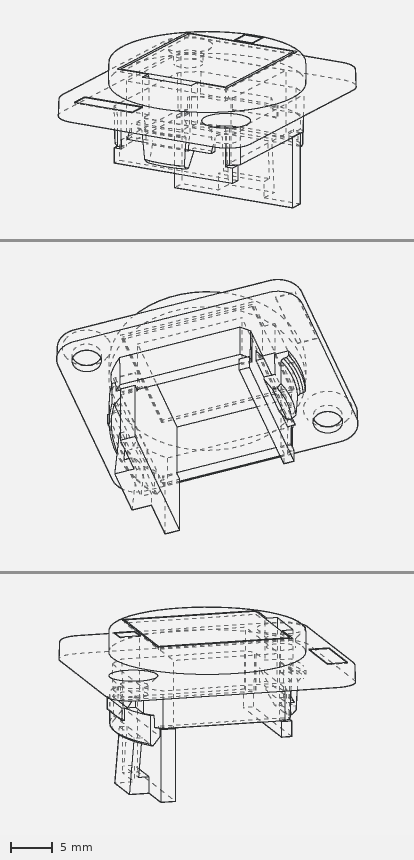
import cadquery as cq


PLATE_WIDTH = 26.0
PLATE_LENGTH = 31.0
PLATE_THICKNESS = 2.3
PLATE_CORNER_RADIUS = 3.1
PLATE_DRAFT = 2.0
PLATE_EDGE_FILLET = 0.25

SCREW_X = 9.5
SCREW_Y = 12.0
SCREW_DIAMETER = 3.5
COUNTERSINK_DIAMETER = 5.85
COUNTERSINK_ANGLE = 90.0

BOSS_RADIUS = 11.8
BOSS_TOP = 5.15
OVERALL_HEIGHT = 19.0
BOSS_EDGE_FILLET = 0.35

LABEL_DEPTH = 0.1
BOSS_LABEL = (0.0, 9.98, 2.45, 2.55)
PLATE_LABEL = (-5.98, -13.35, 8.0, 2.5)

INSERT_WIDTH = 14.45
INSERT_FRONT = -8.18
INSERT_REAR = 8.18
INSERT_LENGTH = INSERT_REAR - INSERT_FRONT
LEG_WIDTH = 16.35
LEG_SHOULDER = -4.9
FRONT_LEG_THICKNESS = 1.3
REAR_LEG_THICKNESS = 1.85
FRONT_LEG_BOTTOM = -6.82
REAR_LEG_BOTTOM = BOSS_TOP - OVERALL_HEIGHT
SLAB_THICKNESS = REAR_LEG_THICKNESS

BEVEL_SIDE = 0.37
BEVEL_END = 0.22
BEVEL_DEPTH = 0.37

HOUSING_WIDTH = 17.48
HOUSING_REAR = 9.92
HOUSING_DEPTH = 4.68
HOUSING_DRAFT = 1.0
HOUSING_REAR_RADIUS = 11.9
HOUSING_CHAMFER = 1.0

SLOT_WIDTH = 6.75
SLOT_FRONT = -9.73

RAMP_WIDTH = 11.55
RAMP_TOP = -1.5
LEDGE_Z = -3.2
RAMP_FRONT = -9.18
CLIP_INNER = -9.6
CLIP_BOTTOM = -5.45
CLIP_TOP_WIDTH = 6.32
CLIP_BOTTOM_WIDTH = 5.4
CLIP_RIM_HEIGHT = 1.0
CLIP_RIM_CHAMFER = 0.28
CLIP_RADIUS = 10.85
CLIP_NECK_CHAMFER = 0.3
CLIP_END_RADIUS = 10.65
CLIP_END_CHAMFER = 0.53
CLIP_CATCH_BOTTOM = -3.55
CLIP_FOOT = -9.2

LATCH_WIDTH = CLIP_TOP_WIDTH
HEAD_TOP = -3.15
HEAD_BOTTOM = -6.95
HEAD_CROWN_Y = 11.55
HEAD_SIDE_Y = 9.4
HEAD_WIDTH = 15.62
HEAD_NECK_Y = 9.08
HEAD_NOTCH_Y = 8.62
HEAD_CATCH_BOTTOM = -5.83
HEAD_CHAMFER = 0.25
ARM_FOOT_REAR = 10.63
ARM_TOP_REAR = 10.05
ARM_FOOT_FRONT = 9.5
ARM_FOOT_TOP = -11.8
LATCH_RAMP_TOP = -1.33
LATCH_RAMP_FRONT = 9.6
LATCH_RAMP_REAR = 10.88


def box(width, y_min, y_max, z_min, z_max):
    """Block centred on X = 0."""
    return cq.Workplane("XY").box(width, y_max - y_min, z_max - z_min).translate(
        (0, (y_min + y_max) / 2, (z_min + z_max) / 2)
    )


def side_profile(points, width):
    """Extrude a (y, z) outline along X, centred on X = 0."""
    return cq.Workplane("YZ").polyline(points).close().extrude(width / 2, both=True)


def mounting_plate():
    plate = (
        cq.Workplane("XY")
        .sketch()
        .rect(PLATE_WIDTH, PLATE_LENGTH)
        .vertices()
        .fillet(PLATE_CORNER_RADIUS)
        .finalize()
        .extrude(PLATE_THICKNESS, taper=PLATE_DRAFT)
    )
    plate = plate.faces(">Z").edges().fillet(PLATE_EDGE_FILLET)
    return (
        plate.faces(">Z")
        .workplane(origin=(0, 0, 0))
        .pushPoints([(-SCREW_X, SCREW_Y), (SCREW_X, -SCREW_Y)])
        .cskHole(SCREW_DIAMETER, COUNTERSINK_DIAMETER, COUNTERSINK_ANGLE)
    )


def boss():
    disc = cq.Workplane("XY").circle(BOSS_RADIUS).extrude(BOSS_TOP)
    return disc.faces(">Z").edges().fillet(BOSS_EDGE_FILLET)


def label_recess(label, surface_z):
    x, y, width, height = label
    return (
        cq.Workplane("XY", origin=(x, y, surface_z))
        .rect(width, height)
        .extrude(-LABEL_DEPTH)
    )


def housing():
    """Drafted block, bevelled at the front and rounded at the rear."""
    half = HOUSING_WIDTH / 2
    block = (
        cq.Workplane("XY")
        .moveTo(-half + HOUSING_CHAMFER, INSERT_FRONT)
        .lineTo(half - HOUSING_CHAMFER, INSERT_FRONT)
        .lineTo(half, INSERT_FRONT + HOUSING_CHAMFER)
        .lineTo(half, HOUSING_REAR)
        .lineTo(-half, HOUSING_REAR)
        .lineTo(-half, INSERT_FRONT + HOUSING_CHAMFER)
        .close()
        .extrude(-HOUSING_DEPTH, taper=HOUSING_DRAFT)
    )
    rounding = (
        cq.Workplane("XY").circle(HOUSING_REAR_RADIUS).extrude(-HOUSING_DEPTH, taper=HOUSING_DRAFT)
    )
    return block.intersect(rounding)


def window_bevel():
    """Tapered ring around the top edge of the insert."""
    flare = (
        cq.Workplane("XY", origin=(0, 0, BOSS_TOP))
        .rect(INSERT_WIDTH + 2 * BEVEL_SIDE, INSERT_LENGTH + 2 * BEVEL_END)
        .workplane(offset=-BEVEL_DEPTH)
        .rect(INSERT_WIDTH, INSERT_LENGTH)
        .loft(combine=True)
    )
    return flare.cut(box(INSERT_WIDTH, INSERT_FRONT, INSERT_REAR, 0, BOSS_TOP))


def insert():
    """Block for the insert with both legs; the space between the legs is cut later."""
    core = box(INSERT_WIDTH, INSERT_FRONT, INSERT_REAR, LEG_SHOULDER, BOSS_TOP)
    front_leg = box(
        LEG_WIDTH, INSERT_FRONT, INSERT_FRONT + FRONT_LEG_THICKNESS, FRONT_LEG_BOTTOM, LEG_SHOULDER
    )
    rear_leg = box(
        LEG_WIDTH, INSERT_REAR - REAR_LEG_THICKNESS, INSERT_REAR, REAR_LEG_BOTTOM, LEG_SHOULDER
    )
    return core.union(front_leg).union(rear_leg)


def insert_cavity():
    return box(
        INSERT_WIDTH,
        INSERT_FRONT + FRONT_LEG_THICKNESS,
        INSERT_REAR - REAR_LEG_THICKNESS,
        REAR_LEG_BOTTOM,
        BOSS_TOP - SLAB_THICKNESS,
    )


def front_ramp():
    points = [(INSERT_FRONT, RAMP_TOP), (RAMP_FRONT, LEDGE_Z), (INSERT_FRONT, LEDGE_Z)]
    return side_profile(points, RAMP_WIDTH)


def front_clip():
    """Hooked clip with a turned outer face and sides that narrow downwards."""
    hook = side_profile(
        [
            (CLIP_INNER, 0),
            (CLIP_INNER, LEDGE_Z),
            (INSERT_FRONT, LEDGE_Z),
            (INSERT_FRONT, CLIP_CATCH_BOTTOM),
            (CLIP_FOOT, CLIP_BOTTOM),
            (-BOSS_RADIUS, CLIP_BOTTOM),
            (-BOSS_RADIUS, 0),
        ],
        CLIP_TOP_WIDTH,
    )
    turned = (
        cq.Workplane("XZ")
        .moveTo(0, 0)
        .lineTo(BOSS_RADIUS, 0)
        .lineTo(BOSS_RADIUS, CLIP_RIM_CHAMFER - CLIP_RIM_HEIGHT)
        .lineTo(BOSS_RADIUS - CLIP_RIM_CHAMFER, -CLIP_RIM_HEIGHT)
        .lineTo(CLIP_RADIUS + CLIP_NECK_CHAMFER, -CLIP_RIM_HEIGHT)
        .lineTo(CLIP_RADIUS, -CLIP_RIM_HEIGHT - CLIP_NECK_CHAMFER)
        .lineTo(CLIP_END_RADIUS, CLIP_BOTTOM + CLIP_END_CHAMFER)
        .lineTo(CLIP_END_RADIUS - CLIP_END_CHAMFER, CLIP_BOTTOM)
        .lineTo(0, CLIP_BOTTOM)
        .close()
        .revolve(360, (0, 0), (0, 1))
    )
    outline = (
        cq.Workplane("XZ")
        .polyline(
            [
                (-CLIP_TOP_WIDTH / 2, 0),
                (CLIP_TOP_WIDTH / 2, 0),
                (CLIP_BOTTOM_WIDTH / 2, CLIP_BOTTOM),
                (-CLIP_BOTTOM_WIDTH / 2, CLIP_BOTTOM),
            ]
        )
        .close()
        .extrude(PLATE_LENGTH / 2)
    )
    return hook.intersect(turned).intersect(outline)


def rear_latch():
    """Sprung arm rising from the foot of the rear leg to a rounded head, joined to the housing."""
    arm = side_profile(
        [
            (INSERT_REAR, REAR_LEG_BOTTOM),
            (ARM_FOOT_REAR, REAR_LEG_BOTTOM),
            (ARM_TOP_REAR, HEAD_BOTTOM),
            (HEAD_NECK_Y, HEAD_BOTTOM),
            (ARM_FOOT_FRONT, ARM_FOOT_TOP),
            (INSERT_REAR, ARM_FOOT_TOP),
        ],
        LATCH_WIDTH,
    )
    head = side_profile(
        [
            (HEAD_NOTCH_Y, HEAD_TOP),
            (HEAD_CROWN_Y, HEAD_TOP),
            (HEAD_CROWN_Y, HEAD_BOTTOM),
            (HEAD_NECK_Y, HEAD_BOTTOM),
            (INSERT_REAR, HEAD_CATCH_BOTTOM),
            (INSERT_REAR, -HOUSING_DEPTH),
            (HEAD_NOTCH_Y, -HOUSING_DEPTH),
        ],
        HEAD_WIDTH,
    )
    crowned = (
        cq.Workplane("XY")
        .moveTo(-HEAD_WIDTH / 2, 0)
        .lineTo(-HEAD_WIDTH / 2, HEAD_SIDE_Y)
        .threePointArc((0, HEAD_CROWN_Y), (HEAD_WIDTH / 2, HEAD_SIDE_Y))
        .lineTo(HEAD_WIDTH / 2, 0)
        .close()
        .extrude(HEAD_BOTTOM)
        .faces("<Z")
        .edges("%CIRCLE")
        .chamfer(HEAD_CHAMFER)
    )
    head = head.intersect(crowned)
    rib = box(LATCH_WIDTH, HEAD_SIDE_Y, HEAD_CROWN_Y, -HOUSING_DEPTH, HEAD_TOP)
    ramp = side_profile(
        [
            (LATCH_RAMP_FRONT, LATCH_RAMP_TOP),
            (LATCH_RAMP_REAR, HEAD_TOP),
            (LATCH_RAMP_FRONT, HEAD_TOP),
        ],
        LATCH_WIDTH,
    )
    return arm.union(head).union(rib).union(ramp)


body = mounting_plate().union(boss()).union(housing()).union(insert())
body = body.cut(window_bevel()).cut(insert_cavity())
body = body.cut(label_recess(BOSS_LABEL, BOSS_TOP)).cut(label_recess(PLATE_LABEL, PLATE_THICKNESS))
body = body.cut(box(SLOT_WIDTH, SLOT_FRONT, INSERT_FRONT, 0, BOSS_TOP))
result = body.union(front_ramp()).union(front_clip()).union(rear_latch())